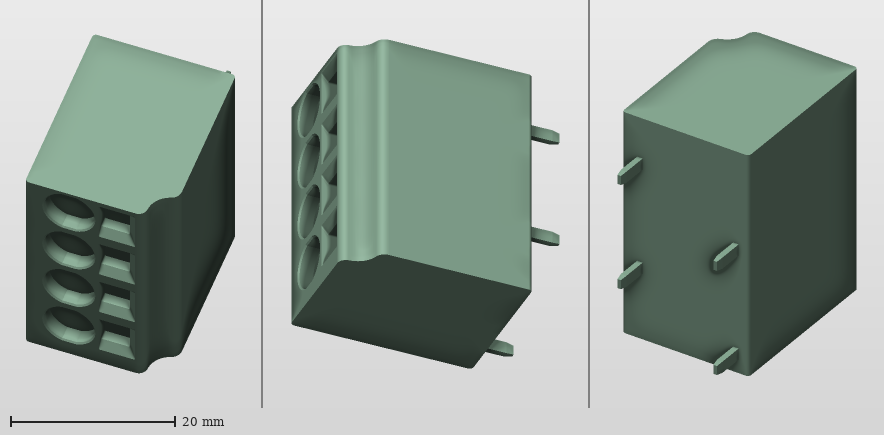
import cadquery as cq
import math

width = 18.5
depth = 24.15
height = 31.8
corner_radius = 0.5

scallop_radius = 2.95
scallop_x = 18.45
scallop_y = 0.95
front_blend_radius = 1.15
rear_blend_radius = 1.4

pole_count = 4
pitch = 7.5
first_pole_z = height - pitch / 2

recess_x = 5.68
recess_radius = 3.25
recess_flat_height = 6.24
recess_depth = 2.0
recess_chamfer = 0.2
recess_chamfer_angle = 45

entry_left = 9.55
mouth_width = 4.75
mouth_height = 6.0
throat_width = 3.73
floor_width = 3.57
throat_height = 3.9
funnel_depth = 0.9
entry_depth = 2.2
entry_corner_radius = 0.2

pin_columns = (15.9, 1.9)
pin_drop = 2.8
pin_width = 0.8
pin_height = 1.6
pin_length = 4.6
pin_taper_length = 1.0
pin_tip_width = 0.5
pin_tip_height = 1.3


def front_plane(y):
    """Plane facing +Y at the given Y, with local x = X and local y = -Z."""
    return cq.Plane(origin=(0, y, 0), xDir=(1, 0, 0), normal=(0, 1, 0))


def point_between(start, end, distance):
    """Point at a distance from start on the way to end."""
    share = distance / math.dist(start, end)
    return (start[0] + share * (end[0] - start[0]), start[1] + share * (end[1] - start[1]))


def make_housing():
    """Block with rounded upright edges and a scallop blended into the front and right faces."""
    scallop = (scallop_x, scallop_y)
    front_span = scallop_radius + front_blend_radius
    front_rise = front_blend_radius - scallop_y
    front_blend = (scallop_x - math.sqrt(front_span**2 - front_rise**2), front_blend_radius)
    rear_span = scallop_radius + rear_blend_radius
    rear_run = scallop_x - (width - rear_blend_radius)
    rear_blend = (width - rear_blend_radius, scallop_y + math.sqrt(rear_span**2 - rear_run**2))

    scallop_start = point_between(scallop, front_blend, scallop_radius)
    scallop_end = point_between(scallop, rear_blend, scallop_radius)
    outline = (
        cq.Workplane("XY")
        .lineTo(front_blend[0], 0)
        .tangentArcPoint(scallop_start, relative=False)
        .tangentArcPoint(scallop_end, relative=False)
        .tangentArcPoint((width, rear_blend[1]), relative=False)
        .lineTo(width, depth)
        .lineTo(0, depth)
        .close()
    )
    block = outline.extrude(height)
    return block.edges("|Z and (<X or >Y)").fillet(corner_radius)


def flatted_disc(radius, flat_height):
    """Closed outline at the front face: a circle about the Y axis with flats above and below."""
    half_flat = flat_height / 2
    half_chord = math.sqrt(radius**2 - half_flat**2)
    return (
        cq.Workplane(front_plane(0))
        .moveTo(-half_chord, -half_flat)
        .lineTo(half_chord, -half_flat)
        .threePointArc((radius, 0), (half_chord, half_flat))
        .lineTo(-half_chord, half_flat)
        .threePointArc((-radius, 0), (-half_chord, -half_flat))
        .close()
    )


def make_recess():
    """Cutter for one round recess with a chamfered rim, centred on the Y axis."""
    bore = flatted_disc(recess_radius, recess_flat_height).extrude(recess_depth)
    rim_radius = recess_radius + recess_chamfer
    rim_flat_height = recess_flat_height + 2 * recess_chamfer
    rim = flatted_disc(rim_radius, rim_flat_height).extrude(recess_chamfer, taper=recess_chamfer_angle)
    return bore.union(rim)


def entry_section(section_width, section_height, y):
    """Rounded rectangle at depth y whose left side lies on the upright wall of the entry."""
    sketch = cq.Sketch().rect(section_width, section_height).vertices().fillet(entry_corner_radius)
    return sketch.moved(cq.Location(cq.Vector(section_width / 2, 0, y)))


def make_entry():
    """Cutter for one wire entry, centred on Z = 0: a funnel leading into a slightly drafted pocket."""
    mouth = entry_section(mouth_width, mouth_height, 0)
    throat = entry_section(throat_width, throat_height, funnel_depth)
    floor = entry_section(floor_width, throat_height, entry_depth)
    left_wall = cq.Workplane(front_plane(0)).center(entry_left, 0)
    funnel = left_wall.placeSketch(mouth, throat).loft(ruled=True)
    pocket = left_wall.placeSketch(throat, floor).loft(ruled=True)
    return funnel.union(pocket)


def make_pin():
    """Rectangular pin with a tapered tip, standing on the board side at X = 0, Z = 0."""
    shank_length = pin_length - pin_taper_length
    shank = cq.Workplane(front_plane(depth)).rect(pin_width, pin_height).extrude(shank_length)
    tip = (
        cq.Workplane(front_plane(depth + shank_length))
        .rect(pin_width, pin_height)
        .workplane(offset=pin_taper_length)
        .rect(pin_tip_width, pin_tip_height)
        .loft(ruled=True)
    )
    return shank.union(tip)


result = make_housing()
recess = make_recess()
entry = make_entry()
pin = make_pin()
for pole in range(pole_count):
    pole_z = first_pole_z - pole * pitch
    pin_x = pin_columns[pole % len(pin_columns)]
    result = result.cut(recess.translate((recess_x, 0, pole_z)))
    result = result.cut(entry.translate((0, 0, pole_z)))
    result = result.union(pin.translate((pin_x, 0, pole_z - pin_drop)))